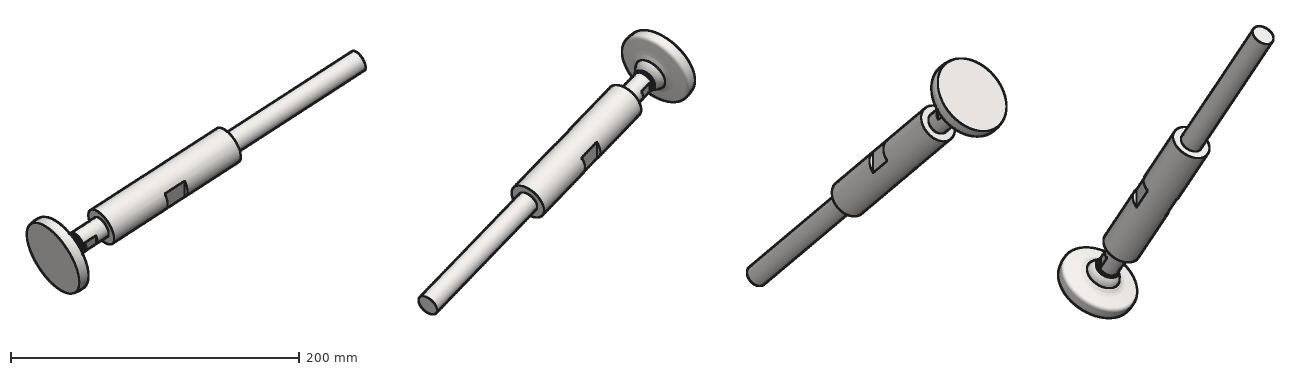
import cadquery as cq

TOTAL_LENGTH = 277.0

EDGE_MARGIN = 0.3

foot_radius = 58.0 / 2
sole_edge = 0.5
lower_rim_top = 3.3
rim_top = 6.6
shoulder_y = 9.5
shoulder_radius = 26.5
shoulder_bulge_y = 8.5
shoulder_bulge_radius = 28.3
collar_base_y = 10.8
collar_base_radius = 16.5
collar_fillet = 5.5
collar_top_y = 13.5

rod_radius = 16.0 / 2
head_radius = 12.5
head_seat_y = 8.3
head_bulge_radius = 11.4
head_bulge_y = 16.3
neck_y = 19.7
bead_radius = 9.0
bead_y = 20.5
groove_radius = 7.2
groove_y = 21.0
rod_start_y = 22.0
rod_flat_y = 23.5
rod_flat_length = 10.0
rod_across_flats = 13.0

sleeve_radius = 28.0 / 2
sleeve_length = 115.0
sleeve_y = 43.8
sleeve_flat_length = 18.0
sleeve_across_flats = 22.0


def revolve_about_y(profile):
    """Revolve a closed XY profile around the Y axis."""
    return profile.close().revolve(360, (0, 0, 0), (0, 1, 0))


def cut_flats(body, start_y, length, across_flats, radius):
    """Cut two opposite flats, normal to X, into a round body."""
    depth = radius - across_flats / 2
    for side in (-1, 1):
        cutter = cq.Workplane("XY").box(depth, length, 2 * radius).translate(
            (side * (across_flats + depth) / 2, start_y + length / 2, 0)
        )
        body = body.cut(cutter)
    return body


def make_foot():
    """Round plate with a sloping top and a raised collar around the head seat."""
    profile = (
        cq.Workplane("XY")
        .moveTo(0, 0)
        .lineTo(foot_radius - sole_edge, 0)
        .lineTo(foot_radius, lower_rim_top)
        .lineTo(foot_radius, rim_top)
        .threePointArc((shoulder_bulge_radius, shoulder_bulge_y), (shoulder_radius, shoulder_y))
        .lineTo(collar_base_radius, collar_base_y)
        .lineTo(head_radius, collar_top_y)
        .lineTo(head_radius, head_seat_y)
        .lineTo(0, head_seat_y)
    )
    foot = revolve_about_y(profile)
    collar_base = cq.selectors.BoxSelector(
        (-foot_radius, collar_base_y - EDGE_MARGIN, -foot_radius),
        (foot_radius, collar_base_y + EDGE_MARGIN, foot_radius),
        boundingbox=True,
    )
    return foot.edges(collar_base).fillet(collar_fillet)


def make_spindle():
    """Long rod with wrench flats, a bead at the neck and a domed head."""
    profile = (
        cq.Workplane("XY")
        .moveTo(0, head_seat_y)
        .lineTo(head_radius, head_seat_y)
        .lineTo(head_radius, collar_top_y)
        .threePointArc((head_bulge_radius, head_bulge_y), (rod_radius, neck_y))
        .lineTo(bead_radius, bead_y)
        .lineTo(groove_radius, groove_y)
        .lineTo(rod_radius, rod_start_y)
        .lineTo(rod_radius, TOTAL_LENGTH)
        .lineTo(0, TOTAL_LENGTH)
    )
    spindle = revolve_about_y(profile)
    return cut_flats(spindle, rod_flat_y, rod_flat_length, rod_across_flats, rod_radius)


def make_sleeve():
    """Tube fitted on the rod, with wrench flats at mid-length."""
    profile = (
        cq.Workplane("XY")
        .moveTo(rod_radius, sleeve_y)
        .lineTo(sleeve_radius, sleeve_y)
        .lineTo(sleeve_radius, sleeve_y + sleeve_length)
        .lineTo(rod_radius, sleeve_y + sleeve_length)
    )
    sleeve = revolve_about_y(profile)
    flat_y = sleeve_y + (sleeve_length - sleeve_flat_length) / 2
    return cut_flats(sleeve, flat_y, sleeve_flat_length, sleeve_across_flats, sleeve_radius)


foot = make_foot()
spindle = make_spindle()
sleeve = make_sleeve()

result = cq.Compound.makeCompound([foot.val(), spindle.val(), sleeve.val()])